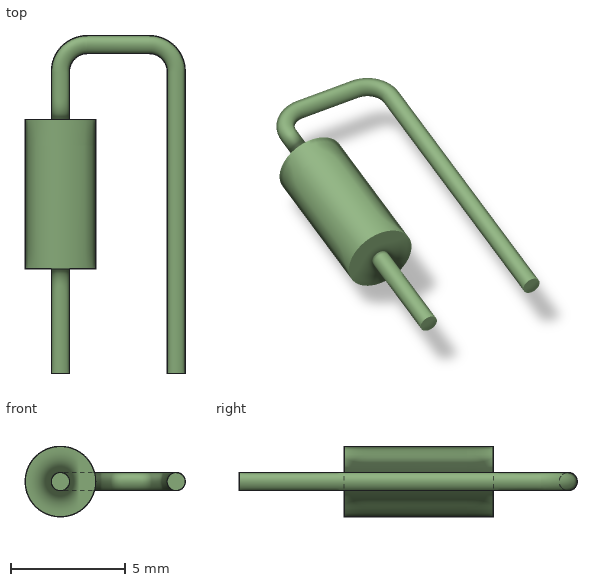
import cadquery as cq

body_diameter = 3.1
body_length = 6.55
lead_diameter = 0.8
lead_pitch = 5.08
total_length = 14.83
front_lead_length = 4.6
bend_radius = 1.18
rim_width = 0.08
band_width = 1.07

body_rear = front_lead_length + body_length
band_rear = body_rear - rim_width
band_front = band_rear - band_width
crossbar_y = total_length - lead_diameter / 2
bend_start_y = crossbar_y - bend_radius


def circle_facing_y(diameter, y):
    """Circle on the body axis, at the given y, facing +Y."""
    plane = cq.Plane(origin=(0, y, 0), xDir=(1, 0, 0), normal=(0, 1, 0))
    return cq.Workplane(plane).circle(diameter / 2)


def rod(diameter, y_start, y_end):
    """Round bar along the body axis."""
    return circle_facing_y(diameter, y_start).extrude(y_end - y_start)


def make_body():
    """Cylindrical body whose cathode band is a flush face of its own."""
    main = rod(body_diameter, front_lead_length, band_front)
    band = rod(body_diameter, band_front, band_rear)
    rim = rod(body_diameter, band_rear, body_rear)
    return main.union(band, clean=False).union(rim, clean=False)


def make_folded_lead():
    """Wire from the rear face, over the crossbar and back to Y = 0."""
    path = (
        cq.Workplane("XY")
        .moveTo(0, body_rear)
        .lineTo(0, bend_start_y)
        .tangentArcPoint((bend_radius, crossbar_y), relative=False)
        .lineTo(lead_pitch - bend_radius, crossbar_y)
        .tangentArcPoint((lead_pitch, bend_start_y), relative=False)
        .lineTo(lead_pitch, 0)
    )
    return circle_facing_y(lead_diameter, body_rear).sweep(path)


front_lead = rod(lead_diameter, 0, front_lead_length)
result = make_body().union(front_lead, clean=False).union(make_folded_lead(), clean=False)